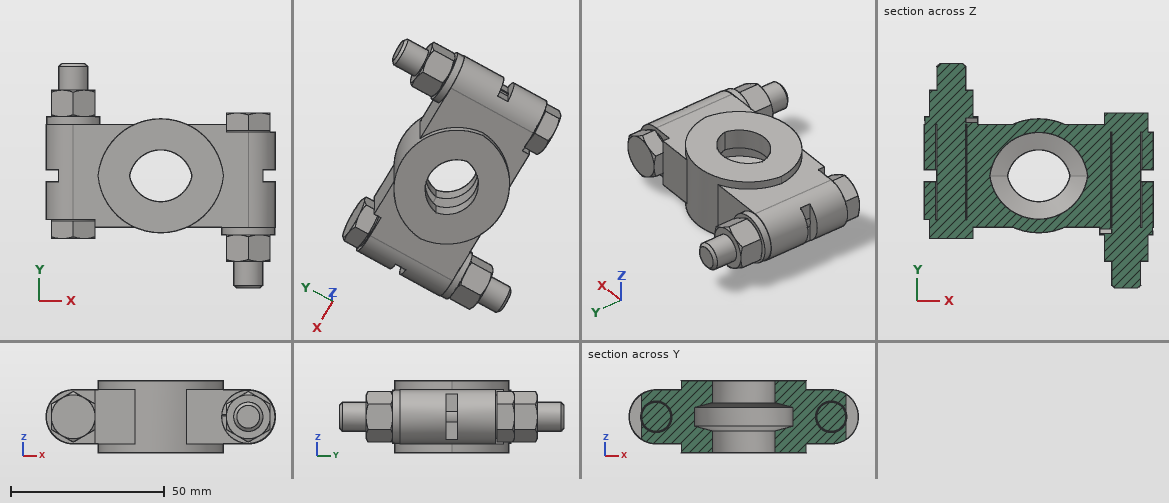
import cadquery as cq
import math


hub_radius = 20.5
bore_radius = 10.3
arc_offset = 1.905
hub_height = 23.5

groove_radius = 16.0
groove_mouth_height = 9.1
groove_wall_height = 6.0

overall_length = 74.68
arm_thickness = 17.7
arm_width = 33.55
end_radius = arm_thickness / 2
bolt_x = overall_length / 2 - end_radius

slot_width = 3.81
slot_floor_x = bolt_x + 4.8

seat_y = 14.25
seat_inner_x = 21.46

bolt_diameter = 9.53
bolt_hole_diameter = 10.16
bolt_end_y = 73.15 / 2
bolt_end_chamfer_length = 0.95
bolt_end_chamfer_depth = 1.05
hex_across_flats = 14.29
hex_chamfer_angle = 30
head_height = 6.2
head_collar_height = 0.5
washer_diameter = 17.3
washer_thickness = 2.45
washer_gap = 0.5
washer_gap_tilt = 22
nut_height = 8.65


def cylinder_along_y(diameter, y_start, y_end):
    """Cylinder on the Y axis between two y positions."""
    section = cq.Workplane("XZ", origin=(0, y_start, 0)).circle(diameter / 2)
    return section.extrude(y_start - y_end)


def facing_arcs(radius, height):
    """Pointed-oval prism about Z, made of two facing arcs of the same radius."""
    half_length = math.sqrt(radius**2 - arc_offset**2)
    half_width = radius - arc_offset
    outline = (
        cq.Workplane("XY", origin=(0, 0, -height / 2))
        .moveTo(-half_length, 0)
        .threePointArc((0, half_width), (half_length, 0))
        .threePointArc((0, -half_width), (-half_length, 0))
        .close()
    )
    return outline.extrude(height)


def groove_half(side):
    """Half of the bore groove, on the +Y (side = 1) or -Y (side = -1) side."""
    profile = (
        cq.Workplane("XZ")
        .moveTo(0, -groove_mouth_height / 2)
        .lineTo(bore_radius, -groove_mouth_height / 2)
        .lineTo(groove_radius, -groove_wall_height / 2)
        .lineTo(groove_radius, groove_wall_height / 2)
        .lineTo(bore_radius, groove_mouth_height / 2)
        .lineTo(0, groove_mouth_height / 2)
        .close()
    )
    ring = profile.revolve(360, (0, 0), (0, 1)).translate((0, -side * arc_offset, 0))
    half_space = cq.Workplane("XY").box(
        2 * hub_radius, hub_radius, hub_height
    ).translate((0, side * hub_radius / 2, 0))
    return ring.intersect(half_space)


def make_clamp():
    """Hub and arms with the bore, bolt holes, slots and bolt-head seats."""
    arms = (
        cq.Workplane("XZ")
        .slot2D(overall_length, arm_thickness)
        .extrude(arm_width / 2, both=True)
    )
    clamp = arms.union(facing_arcs(hub_radius, hub_height))
    clamp = clamp.cut(facing_arcs(bore_radius, hub_height))
    for side in (1, -1):
        clamp = clamp.cut(groove_half(side))

        hole = cylinder_along_y(bolt_hole_diameter, -arm_width / 2, arm_width / 2)
        clamp = clamp.cut(hole.translate((side * bolt_x, 0, 0)))

        slot_depth = overall_length / 2 - slot_floor_x
        slot = cq.Workplane("XY").box(slot_depth, slot_width, arm_thickness)
        clamp = clamp.cut(slot.translate((side * (slot_floor_x + slot_depth / 2), 0, 0)))

        seat_length = overall_length / 2 - seat_inner_x
        seat_depth = arm_width / 2 - seat_y
        seat = cq.Workplane("XY").box(seat_length, seat_depth, arm_thickness)
        seat_center_x = seat_inner_x + seat_length / 2
        seat_center_y = seat_y + seat_depth / 2
        clamp = clamp.cut(seat.translate((side * seat_center_x, side * seat_center_y, 0)))
    return clamp


def chamfered_hex(y_start, y_end, chamfer_start, chamfer_end):
    """Hexagon along +Y with corners up and down; corners are turned off at the chosen ends."""
    corner_radius = hex_across_flats / math.sqrt(3)
    flat_radius = hex_across_flats / 2
    chamfer_length = (corner_radius - flat_radius) * math.tan(math.radians(hex_chamfer_angle))

    prism = (
        cq.Workplane("XZ", origin=(0, y_start, 0))
        .transformed(rotate=(0, 0, 90))
        .polygon(6, 2 * corner_radius)
        .extrude(y_start - y_end)
    )
    start_face_radius = flat_radius if chamfer_start else corner_radius
    end_face_radius = flat_radius if chamfer_end else corner_radius
    turning = (
        cq.Workplane("XY")
        .moveTo(0, y_start)
        .lineTo(start_face_radius, y_start)
        .lineTo(corner_radius, y_start + chamfer_length)
        .lineTo(corner_radius, y_end - chamfer_length)
        .lineTo(end_face_radius, y_end)
        .lineTo(0, y_end)
        .close()
        .revolve(360, (0, 0), (0, 1))
    )
    return prism.intersect(turning)


def make_split_washer(y_start, y_end):
    """Washer on the Y axis with a slanted gap on its +X side."""
    washer = cylinder_along_y(washer_diameter, y_start, y_end)
    gap_length = (washer_diameter - bolt_diameter) / 2
    gap = (
        cq.Workplane("XY")
        .box(gap_length, 2 * washer_thickness, washer_gap)
        .rotate((0, 0, 0), (1, 0, 0), washer_gap_tilt)
        .translate((bolt_diameter / 2 + gap_length / 2, (y_start + y_end) / 2, 0))
    )
    return washer.cut(gap)


def make_fastener():
    """Bolt, washer and nut on the Y axis, with the head at -Y and the nut at +Y."""
    shank = cylinder_along_y(bolt_diameter, -seat_y, bolt_end_y)
    shank = shank.faces(">Y").chamfer(bolt_end_chamfer_length, bolt_end_chamfer_depth)

    collar_y = -seat_y - head_collar_height
    collar = cylinder_along_y(hex_across_flats, collar_y, -seat_y)
    head = chamfered_hex(-seat_y - head_height, collar_y, True, False)

    washer_y = arm_width / 2
    nut_y = washer_y + washer_thickness
    washer = make_split_washer(washer_y, nut_y)
    nut = chamfered_hex(nut_y, nut_y + nut_height, True, True)
    return shank.union(collar).union(head).union(washer).union(nut)


left_fastener = make_fastener().translate((-bolt_x, 0, 0))
right_fastener = left_fastener.rotate((0, 0, 0), (0, 0, 1), 180)
result = make_clamp().union(left_fastener).union(right_fastener)